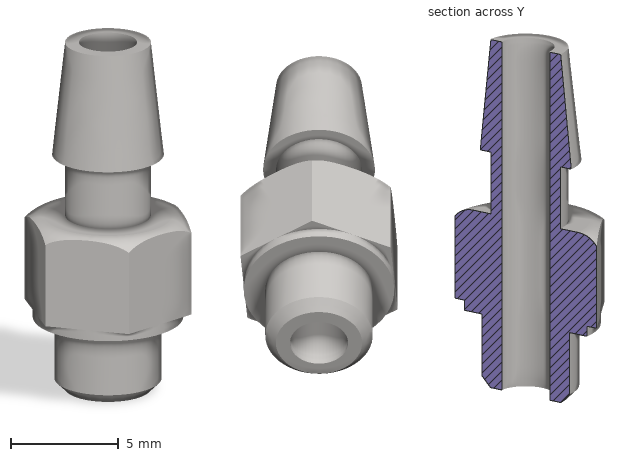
import cadquery as cq
import math

end_chamfer = 0.5
collar_bottom_z = 3.5
hex_bottom_z = 4.0
hex_top_z = 8.5
barb_bottom_z = 11.5
total_height = 17.0

bore_diameter = 2.7
stem_diameter = 4.0
barb_diameter = 5.2
spigot_diameter = 5.0
collar_diameter = 7.0

hex_across_flats = 7.0
hex_across_corners = hex_across_flats / math.cos(math.radians(30))
hex_top_land_diameter = 6.0
hex_corner_drop = 0.51


def cylinder(diameter, bottom_z, top_z):
    return cq.Workplane("XY").workplane(offset=bottom_z).circle(diameter / 2).extrude(top_z - bottom_z)


def make_spigot():
    spigot = cylinder(spigot_diameter, 0, collar_bottom_z)
    return spigot.faces("<Z").chamfer(end_chamfer)


def make_hexagon():
    """Hexagonal prism whose top corners are rounded off by a revolved arc."""
    corner_radius = hex_across_corners / 2
    land_radius = hex_top_land_diameter / 2
    run = corner_radius - land_radius
    arc_radius = (run**2 + hex_corner_drop**2) / (2 * hex_corner_drop)
    mid_drop = arc_radius - math.sqrt(arc_radius**2 - (run / 2) ** 2)
    envelope = (
        cq.Workplane("XZ")
        .moveTo(0, hex_bottom_z)
        .lineTo(corner_radius, hex_bottom_z)
        .lineTo(corner_radius, hex_top_z - hex_corner_drop)
        .threePointArc((land_radius + run / 2, hex_top_z - mid_drop), (land_radius, hex_top_z))
        .lineTo(0, hex_top_z)
        .close()
        .revolve(360, (0, 0, 0), (0, 1, 0))
    )
    prism = (
        cq.Workplane("XY")
        .workplane(offset=hex_bottom_z)
        .polygon(6, hex_across_corners)
        .extrude(hex_top_z - hex_bottom_z)
    )
    return prism.intersect(envelope)


def make_barb():
    """Cone narrowing from the barb shoulder to the stem diameter at the tip."""
    return (
        cq.Workplane("XY")
        .workplane(offset=barb_bottom_z)
        .circle(barb_diameter / 2)
        .workplane(offset=total_height - barb_bottom_z)
        .circle(stem_diameter / 2)
        .loft(ruled=True)
    )


collar = cylinder(collar_diameter, collar_bottom_z, hex_bottom_z)
stem = cylinder(stem_diameter, hex_top_z, barb_bottom_z)
bore = cylinder(bore_diameter, 0, total_height)

body = make_spigot().union(collar).union(make_hexagon()).union(stem).union(make_barb())
result = body.cut(bore)